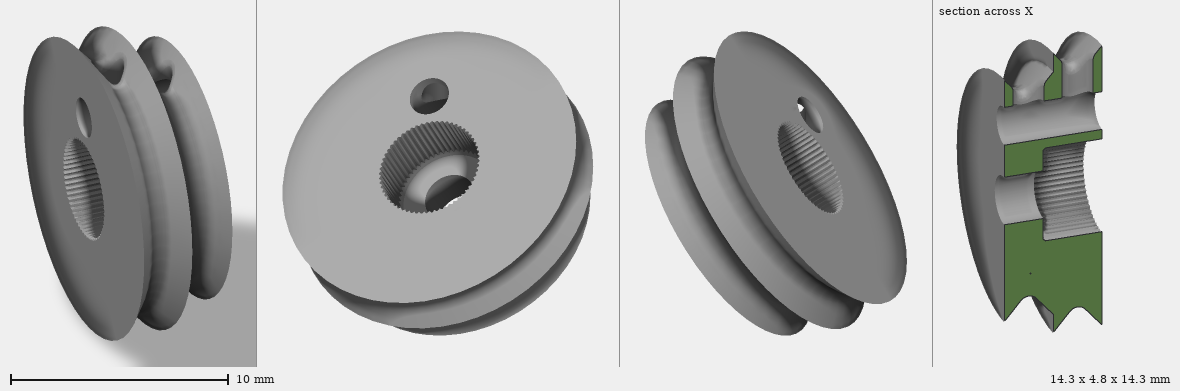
import cadquery as cq
import math


sheave_width = 2.4
large_rim_radius = 7.13
small_rim_radius = 6.17
groove_depth = 1.12
groove_root_radius = 0.5
sheave_count = 2
pulley_width = sheave_count * sheave_width

shaft_hole_radius = 1.2
socket_floor_depth = 2.88
socket_floor_radius = 2.25
spline_crest_radius = 2.34
spline_root_radius = 2.44
spline_root_flat = 0.06
spline_tooth_count = 60
socket_taper_angle = 45.0

tie_hole_radius = 0.95
tie_hole_offset = 3.8
cord_hole_radius = 0.75
cord_hole_mouth_fillet = 0.4
hole_seam_angle = 90.0


def make_sheave(rim_radius, start_y):
    """One sheave: a disc whose rim is a V groove with a round root tangent to both flanks."""
    half_width = sheave_width / 2
    root_radius = rim_radius - groove_depth
    arc_centre_drop = groove_depth - groove_root_radius
    rim_to_centre = math.hypot(half_width, arc_centre_drop)
    flank_angle = math.atan2(arc_centre_drop, half_width) + math.asin(groove_root_radius / rim_to_centre)
    arc_half_width = groove_root_radius * math.sin(flank_angle)
    tangent_radius = root_radius + groove_root_radius * (1 - math.cos(flank_angle))
    middle_y = start_y + half_width
    end_y = start_y + sheave_width
    return (
        cq.Workplane("XY")
        .moveTo(0, start_y)
        .lineTo(rim_radius, start_y)
        .lineTo(tangent_radius, middle_y - arc_half_width)
        .threePointArc((root_radius, middle_y), (tangent_radius, middle_y + arc_half_width))
        .lineTo(rim_radius, end_y)
        .lineTo(0, end_y)
        .close()
        .revolve(360, (0, 0, 0), (0, 1, 0))
    )


def make_axial_cylinder(radius, length, offset_z=0):
    """A cylinder along +Y from the front face, raised by offset_z."""
    return cq.Workplane("XZ").center(0, offset_z).circle(radius).extrude(-length)


def cut_cord_hole(body, middle_y):
    """Radial hole from the groove root down to the tie hole, with a rounded mouth."""
    search_margin = 1.1
    hole_length = large_rim_radius - tie_hole_offset
    hole = (
        cq.Workplane("XY", origin=(0, middle_y, tie_hole_offset))
        .circle(cord_hole_radius)
        .extrude(hole_length)
        .rotate((0, middle_y, 0), (0, middle_y, 1), hole_seam_angle)
    )
    search_half_width = cord_hole_radius * search_margin
    mouth_region = cq.selectors.BoxSelector(
        (-search_half_width, middle_y - search_half_width, tie_hole_offset + tie_hole_radius),
        (search_half_width, middle_y + search_half_width, large_rim_radius),
        boundingbox=True,
    )
    return body.cut(hole).edges(mouth_region).fillet(cord_hole_mouth_fillet)


def polar_point(radius, angle):
    """Flat coordinates of a point at a radius and an angle in radians."""
    return (radius * math.cos(angle), radius * math.sin(angle))


def make_socket():
    """Blind splined socket of sharp teeth with narrow flat roots, ending in a taper down to the flat floor."""
    tooth_pitch = 2 * math.pi / spline_tooth_count
    root_half_angle = spline_root_flat / spline_root_radius / 2
    points = []
    for tooth_index in range(spline_tooth_count):
        crest_angle = tooth_index * tooth_pitch
        root_angle = crest_angle + tooth_pitch / 2
        points.append(polar_point(spline_crest_radius, crest_angle))
        points.append(polar_point(spline_root_radius, root_angle - root_half_angle))
        points.append(polar_point(spline_root_radius, root_angle + root_half_angle))
    spline = cq.Workplane("XZ").polyline(points).close().extrude(-socket_floor_depth)
    mouth_radius = socket_floor_radius + socket_floor_depth * math.tan(math.radians(socket_taper_angle))
    envelope = (
        cq.Workplane("XY")
        .lineTo(mouth_radius, 0)
        .lineTo(socket_floor_radius, socket_floor_depth)
        .lineTo(0, socket_floor_depth)
        .close()
        .revolve(360, (0, 0, 0), (0, 1, 0))
    )
    return spline.intersect(envelope)


pulley = make_sheave(large_rim_radius, 0).union(make_sheave(small_rim_radius, sheave_width))
for sheave_index in range(sheave_count):
    pulley = cut_cord_hole(pulley, (sheave_index + 0.5) * sheave_width)
pulley = pulley.cut(make_axial_cylinder(tie_hole_radius, pulley_width, tie_hole_offset))
pulley = pulley.cut(make_axial_cylinder(shaft_hole_radius, pulley_width))
result = pulley.cut(make_socket())